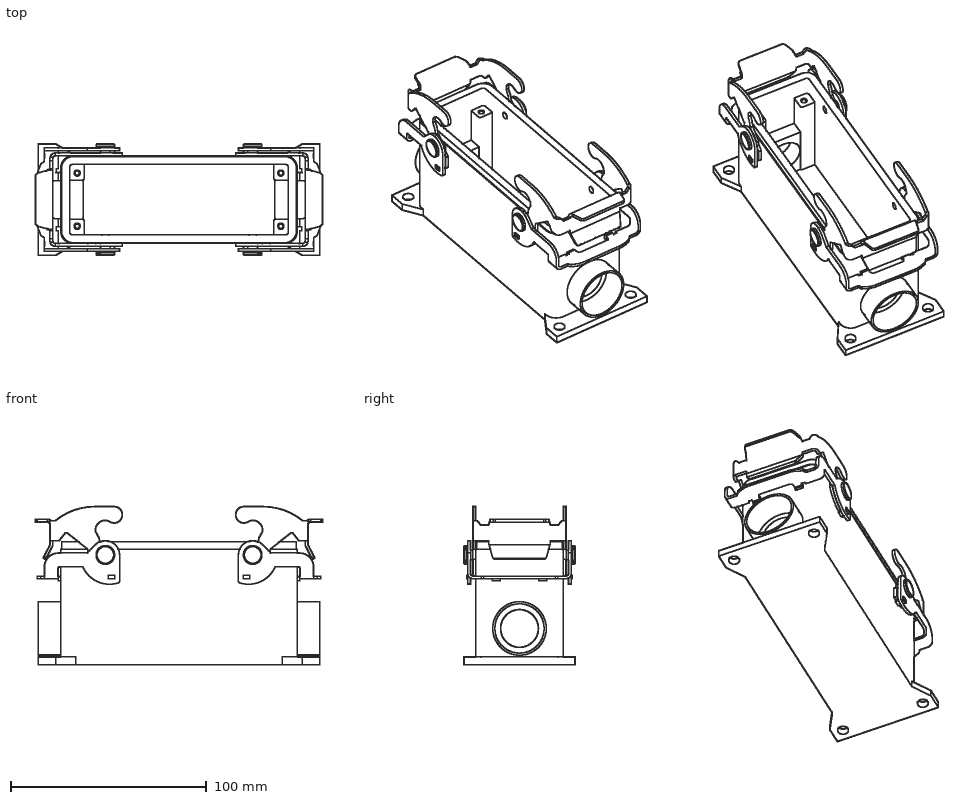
import cadquery as cq
import math

body_length = 121.0
body_width = 44.8
body_corner_radius = 6.3
rim_inset = 0.4
rim_bottom = 59.0
body_top = 63.0
floor_thickness = 4.0
cavity_length = 112.0
cavity_width = 36.0
cavity_corner_radius = 1.5

pillar_length = 7.5
pillar_width = 8.0
pillar_top = 51.5
pillar_corner_radius = 1.0
screw_x = 52.1
screw_y = 13.6
screw_hole_diameter = 2.3
screw_chamfer = 0.4
screw_hole_depth = 12.0

flange_end = 72.0
flange_half_width = 28.5
flange_thickness = 4.0
flange_shoulder = 63.0
flange_inner_end = 52.9
flange_hole_inset = 6.0
flange_hole_diameter = 5.5

entry_height = 18.6
entry_outer_radius = 13.7
entry_inner_radius = 12.6
entry_hole_radius = 9.6
entry_seat = 58.5
entry_boss_end = 49.1
entry_boss_top = entry_height + entry_outer_radius

sheet = 1.5
bend_inner_radius = 1.3
bend_outer_radius = bend_inner_radius + sheet
bend_leg = bend_outer_radius + 1.0

pin_x = -37.7
pin_z = 56.2
pin_radius = 2.5
pin_head_radius = 4.75
pin_head_thickness = 1.5
pin_head_chamfer = 0.45
pin_tip_hole_diameter = 3.5
pin_tip_hole_depth = 2.0

hook_outer_y = body_width / 2 + sheet
hook_wall_x = -66.0
hook_side_start = hook_wall_x + bend_outer_radius
hook_wall_bottom = 63.4
hook_shoulder_z = 73.8
hook_top = 81.0
hook_back_start = -43.0
hook_heel_x = -61.3
hook_neck_x = -46.8
hook_lobe_x = -31.2
hook_lobe_bottom = 45.5
crotch_start = (-58.2, 67.3)
crotch_tip = (-57.7, 67.55)
crotch_finish = (-57.2, 67.4)
neck_top_z = 59.2
neck_bottom_z = 54.1
lobe_arc_middle = (-43.8, 49.3)
lobe_arc_finish = (-37.0, hook_lobe_bottom)
hook_front_edge = [(hook_lobe_x, 52.5), (-33.6, 54.5), (-33.6, 57.0), (-40.2, 62.0), (-40.9, 65.0)]
nose_radius = 4.25
nose_x = -33.2
nose_z = hook_top - nose_radius
notch_radius = 4.8
notch_direction = math.radians(239)
notch_end_angle = math.radians(191)
tab_end = -146.97 / 2
tab_top = 74.5
tab_half_width = 15.0
skirt_half_width = 15.8
relief_bottom = 71.6
relief_side = [(relief_bottom, 19.9), (73.0, 20.9), (hook_shoulder_z, 21.8)]
tab_corner = [(tab_end, 12.5), (-72.6, 13.5)]
skirt_break_z = 61.4
skirt_end_z = 53.9
skirt_side = [(skirt_end_z, 12.7), (55.0, 13.8), (62.2, skirt_half_width)]
skirt_slope = math.atan2(3.16, 6.1)

bow_outer_y = 26.5
bow_arm_top = 57.2
bow_arm_bottom = 50.1
bow_leg_outer = -68.9
bow_leg_inner = -61.8
bow_plate_bottom = 43.9
bow_plate_end = -72.6
bow_eye_radius = 7.3
bow_lobe_radius = 15.0
bow_lobe_x = -35.5
eye_tangent_angle = math.radians(135)
lobe_arc_angle = math.radians(240)
bow_flare = [(bow_leg_outer, 19.5), (-70.6, 18.3), (-72.0, 15.0), (bow_plate_end, 12.4)]
bow_corner_radius = bow_arm_top - bow_arm_bottom
bow_lobe_corner_radius = 1.2
bow_leg_corner_radius = 0.8
bow_notch_end = -65.0
bow_notch_corner_radius = 1.8
tongue_inner_y = 9.75
tongue_width = 4.2
tongue_drop = 0.9
tongue_relief_depth = 1.0
tongue_relief_width = 1.9

nub_x = -34.6
nub_z = 45.0
nub_length = 3.4
nub_height = 1.8
nub_outer_y = 27.0


def centred_box(x0, x1, width, z0, z1):
    """Box between two X and two Z values, centred on the XZ plane."""
    return (
        cq.Workplane("XY")
        .box(x1 - x0, width, z1 - z0, centered=(False, True, False))
        .translate((x0, 0, z0))
    )


def both_sides(shape):
    """The shape and its mirror image across the XZ plane."""
    return shape.union(shape.mirror("XZ"))


def both_ends(shape):
    """The shape and its mirror image across the YZ plane."""
    return shape.union(shape.mirror("YZ"))


def side_plane(outer_y):
    """XZ workplane on the outward face at Y = -outer_y; positive extrusion goes outward."""
    return cq.Workplane("XZ", origin=(0, -outer_y, 0))


def height_plane(x):
    """Workplane at X = x whose first axis is Z and second is Y; positive extrusion goes to -X."""
    return cq.Plane(origin=(x, 0, 0), xDir=(0, 0, 1), normal=(-1, 0, 0))


def symmetric_outline(plane, half_points, depth):
    """Prism over an outline whose half is given, mirrored about the first axis of its plane."""
    mirrored = [(along, -across) for along, across in reversed(half_points)]
    return cq.Workplane(plane).polyline(half_points + mirrored).close().extrude(depth)


def polar(centre_x, centre_z, radius, angle):
    """Point at a radius and angle from a centre in the XZ plane."""
    return (centre_x + radius * math.cos(angle), centre_z + radius * math.sin(angle))


def make_body():
    lower = (
        cq.Workplane("XY")
        .rect(body_length, body_width)
        .extrude(rim_bottom)
        .edges("|Z")
        .fillet(body_corner_radius)
    )
    rim = (
        cq.Workplane("XY", origin=(0, 0, rim_bottom))
        .rect(body_length - 2 * rim_inset, body_width - 2 * rim_inset)
        .extrude(body_top - rim_bottom)
        .edges("|Z")
        .fillet(body_corner_radius - rim_inset)
    )
    cavity = (
        cq.Workplane("XY", origin=(0, 0, floor_thickness))
        .rect(cavity_length, cavity_width)
        .extrude(body_top)
        .edges("|Z")
        .fillet(cavity_corner_radius)
    )
    return lower.union(rim).cut(cavity)


def make_pillars():
    corner_x = cavity_length / 2
    corner_y = cavity_width / 2
    pillar = (
        cq.Workplane("XY")
        .box(pillar_length, pillar_width, pillar_top, centered=False)
        .edges("|Z and >X and >Y")
        .fillet(pillar_corner_radius)
        .translate((-corner_x, -corner_y, 0))
    )
    return both_ends(both_sides(pillar))


def make_screw_holes():
    mouth_radius = screw_hole_diameter / 2 + screw_chamfer
    hole = (
        cq.Workplane("XZ")
        .polyline([
            (0, pillar_top),
            (mouth_radius, pillar_top),
            (mouth_radius - screw_chamfer, pillar_top - screw_chamfer),
            (mouth_radius - screw_chamfer, pillar_top - screw_hole_depth),
            (0, pillar_top - screw_hole_depth),
        ])
        .close()
        .revolve(360, (0, 0), (0, 1))
        .translate((-screw_x, -screw_y, 0))
    )
    return both_ends(both_sides(hole))


def make_flanges():
    half_outline = [
        (-flange_end, flange_half_width),
        (-flange_shoulder, flange_half_width),
        (-flange_inner_end, body_width / 2),
    ]
    flange = symmetric_outline("XY", half_outline, flange_thickness)
    hole_x = -flange_end + flange_hole_inset
    hole_y = flange_half_width - flange_hole_inset
    flange = flange.cut(
        cq.Workplane("XY")
        .pushPoints([(hole_x, hole_y), (hole_x, -hole_y)])
        .circle(flange_hole_diameter / 2)
        .extrude(flange_thickness)
    )
    return both_ends(flange)


def entry_cylinder(radius, start, end):
    """Cylinder on the cable entry axis between two distances from the middle, at the -X end."""
    return (
        cq.Workplane("YZ", origin=(-start, 0, entry_height))
        .circle(radius)
        .extrude(start - end)
    )


def make_entries():
    tube = entry_cylinder(entry_outer_radius, flange_end, cavity_length / 2)
    boss_width = cavity_width - 2 * pillar_width
    boss = centred_box(-cavity_length / 2, -entry_boss_end, boss_width, 0, entry_boss_top)
    return both_ends(tube.union(boss))


def make_entry_bores():
    wide = entry_cylinder(entry_inner_radius, flange_end, entry_seat)
    narrow = entry_cylinder(entry_hole_radius, flange_end, entry_boss_end)
    return both_ends(wide.union(narrow))


def make_pin():
    """Rivet of one side, from the housing wall out to its head."""
    wall_y = cavity_width / 2 + pin_tip_hole_depth
    shank = (
        side_plane(wall_y)
        .center(pin_x, pin_z)
        .circle(pin_radius)
        .extrude(flange_half_width - wall_y)
    )
    head = (
        side_plane(flange_half_width - pin_head_thickness)
        .center(pin_x, pin_z)
        .circle(pin_head_radius)
        .extrude(pin_head_thickness)
        .faces("<Y")
        .chamfer(pin_head_chamfer)
    )
    return shank.union(head)


def make_pin_tip_holes():
    hole = (
        side_plane(cavity_width / 2)
        .center(pin_x, pin_z)
        .circle(pin_tip_hole_diameter / 2)
        .extrude(pin_tip_hole_depth)
    )
    return both_ends(both_sides(hole))


def make_hook_plate():
    """Flat hook of one side."""
    notch_x, notch_z = polar(nose_x, nose_z, nose_radius + notch_radius, notch_direction)
    nose_end = polar(nose_x, nose_z, nose_radius, notch_direction)
    nose_front = (nose_x + nose_radius, nose_z)
    notch_mid_angle = (notch_direction - math.pi + notch_end_angle) / 2
    notch_mid = polar(notch_x, notch_z, notch_radius, notch_mid_angle)
    notch_end = polar(notch_x, notch_z, notch_radius, notch_end_angle)
    return (
        side_plane(body_width / 2)
        .moveTo(nose_x, hook_top)
        .lineTo(hook_back_start, hook_top)
        .tangentArcPoint((hook_side_start, hook_shoulder_z), relative=False)
        .lineTo(hook_side_start, hook_wall_bottom)
        .lineTo(hook_heel_x, hook_wall_bottom)
        .lineTo(*crotch_start)
        .threePointArc(crotch_tip, crotch_finish)
        .lineTo(hook_neck_x, neck_top_z)
        .lineTo(hook_neck_x, neck_bottom_z)
        .threePointArc(lobe_arc_middle, lobe_arc_finish)
        .lineTo(hook_lobe_x, hook_lobe_bottom)
        .polyline(hook_front_edge + [notch_end], includeCurrent=True)
        .threePointArc(notch_mid, nose_end)
        .threePointArc(nose_front, (nose_x, hook_top))
        .close()
        .extrude(sheet)
    )


def make_hook_wall():
    """Wall joining the two hooks, bent round at both sides and relieved beside the tab."""
    leg_end = hook_wall_x + bend_leg
    outer = (
        centred_box(hook_wall_x, leg_end, 2 * hook_outer_y, hook_wall_bottom, hook_shoulder_z)
        .edges("|Z and <X")
        .fillet(bend_outer_radius)
    )
    inner = (
        centred_box(
            hook_wall_x + sheet, leg_end, 2 * (hook_outer_y - sheet), hook_wall_bottom, hook_shoulder_z
        )
        .edges("|Z and <X")
        .fillet(bend_inner_radius)
    )
    relief = symmetric_outline(height_plane(leg_end), relief_side, bend_leg)
    return outer.cut(inner).cut(relief)


def make_tab_and_skirt():
    """Finger tab bent outward above the wall and slanted skirt below it, as one sheet."""
    inner_x = hook_wall_x + sheet
    sine = math.sin(skirt_slope)
    cosine = math.cos(skirt_slope)
    skirt_length = (skirt_break_z - skirt_end_z - sheet * sine) / cosine
    skirt_tip = (hook_wall_x - skirt_length * sine, skirt_break_z - skirt_length * cosine)
    bend_x = hook_wall_x - bend_inner_radius
    bend_z = tab_top - bend_outer_radius
    profile = (
        cq.Workplane("XZ", origin=(0, skirt_half_width, 0))
        .moveTo(tab_end, tab_top)
        .lineTo(bend_x, tab_top)
        .tangentArcPoint((inner_x, bend_z), relative=False)
        .lineTo(inner_x, skirt_break_z - sheet * math.tan(skirt_slope / 2))
        .lineTo(skirt_tip[0] + sheet * cosine, skirt_tip[1] - sheet * sine)
        .lineTo(*skirt_tip)
        .lineTo(hook_wall_x, skirt_break_z)
        .lineTo(hook_wall_x, bend_z)
        .threePointArc(
            polar(bend_x, bend_z, bend_inner_radius, math.pi / 4), (bend_x, tab_top - sheet)
        )
        .lineTo(tab_end, tab_top - sheet)
        .close()
        .extrude(2 * skirt_half_width)
    )
    plan = symmetric_outline(
        "XY",
        tab_corner + [(bend_x, tab_half_width), (bend_x, skirt_half_width), (inner_x, skirt_half_width)],
        hook_top,
    )
    elevation_side = skirt_side + [(relief_bottom, skirt_half_width), (tab_top, tab_half_width)]
    elevation = symmetric_outline(height_plane(inner_x), elevation_side, inner_x - tab_end)
    return profile.intersect(plan).intersect(elevation)


def make_bow_side():
    """Flat side plate of the bow: arm, eye round the pin and the lobe below it."""
    leg_bottom = bow_plate_bottom + bend_outer_radius
    eye_right = pin_x + bow_eye_radius
    eye_tangent = polar(pin_x, pin_z, bow_eye_radius, eye_tangent_angle)
    arm_root_x = eye_tangent[0] - (eye_tangent[1] - bow_arm_top)
    lobe_right_z = pin_z - math.sqrt(bow_lobe_radius ** 2 - (eye_right - bow_lobe_x) ** 2)
    lobe_left_x = bow_lobe_x - math.sqrt(bow_lobe_radius ** 2 - (pin_z - bow_arm_bottom) ** 2)
    return (
        side_plane(bow_outer_y - sheet)
        .moveTo(bow_leg_outer, leg_bottom)
        .lineTo(bow_leg_outer, bow_arm_bottom)
        .tangentArcPoint((bow_leg_outer + bow_corner_radius, bow_arm_top), relative=False)
        .lineTo(arm_root_x, bow_arm_top)
        .lineTo(*eye_tangent)
        .threePointArc(polar(pin_x, pin_z, bow_eye_radius, eye_tangent_angle / 2), (eye_right, pin_z))
        .lineTo(eye_right, lobe_right_z)
        .threePointArc(
            polar(bow_lobe_x, pin_z, bow_lobe_radius, lobe_arc_angle), (lobe_left_x, bow_arm_bottom)
        )
        .lineTo(bow_leg_inner, bow_arm_bottom)
        .lineTo(bow_leg_inner, leg_bottom)
        .close()
        .extrude(sheet)
        .edges(cq.selectors.NearestToPointSelector((eye_right, -bow_outer_y + sheet / 2, lobe_right_z)))
        .fillet(bow_lobe_corner_radius)
        .edges(cq.selectors.NearestToPointSelector((bow_leg_inner, -bow_outer_y + sheet / 2, bow_arm_bottom)))
        .fillet(bow_leg_corner_radius)
    )


def make_bow_plate():
    """Cross plate of the bow with its bent-up ends, widened outward in the middle."""
    leg_top = bow_plate_bottom + bend_leg
    outer = (
        centred_box(bow_leg_outer, bow_leg_inner, 2 * bow_outer_y, bow_plate_bottom, leg_top)
        .edges("|X and <Z")
        .fillet(bend_outer_radius)
    )
    inner = (
        centred_box(
            bow_leg_outer, bow_leg_inner, 2 * (bow_outer_y - sheet), bow_plate_bottom + sheet, leg_top
        )
        .edges("|X and <Z")
        .fillet(bend_inner_radius)
    )
    widening = symmetric_outline(
        "XY",
        bow_flare,
        sheet,
    ).translate((0, 0, bow_plate_bottom))
    relief = (
        cq.Workplane("XY")
        .box(tongue_relief_depth, tongue_relief_width, sheet, centered=False)
        .translate((bow_leg_inner - tongue_relief_depth, tongue_inner_y + tongue_width, bow_plate_bottom))
    )
    notch = (
        centred_box(
            bow_notch_end, bow_leg_inner, 2 * tongue_inner_y, bow_plate_bottom, bow_plate_bottom + sheet
        )
        .edges("|Z and <X")
        .fillet(bow_notch_corner_radius)
    )
    return outer.cut(inner).union(widening).cut(both_sides(relief)).cut(notch)


def make_tongue():
    """Tongue of one side that runs from the plate down against the housing end wall."""
    wall_x = -body_length / 2
    plate_top = bow_plate_bottom + sheet
    return (
        side_plane(tongue_inner_y)
        .polyline([
            (bow_leg_inner, plate_top),
            (wall_x, plate_top - tongue_drop / 2),
            (wall_x, bow_plate_bottom - tongue_drop),
            (bow_leg_inner, bow_plate_bottom - tongue_drop),
        ])
        .close()
        .extrude(tongue_width)
    )


def make_stop_nub():
    """Small stop of one side that crosses from the hook plate through the bow."""
    return (
        side_plane(body_width / 2)
        .center(nub_x, nub_z)
        .rect(nub_length, nub_height)
        .extrude(nub_outer_y - body_width / 2)
    )


def make_latch():
    sides = make_pin()
    for piece in (make_hook_plate(), make_bow_side(), make_tongue(), make_stop_nub()):
        sides = sides.union(piece)
    latch = both_sides(sides)
    for piece in (make_hook_wall(), make_tab_and_skirt(), make_bow_plate()):
        latch = latch.union(piece)
    return latch


housing = make_body().union(make_pillars()).union(make_flanges()).union(make_entries())
housing = housing.cut(make_screw_holes()).cut(make_entry_bores())
result = housing.union(both_ends(make_latch())).cut(make_pin_tip_holes())